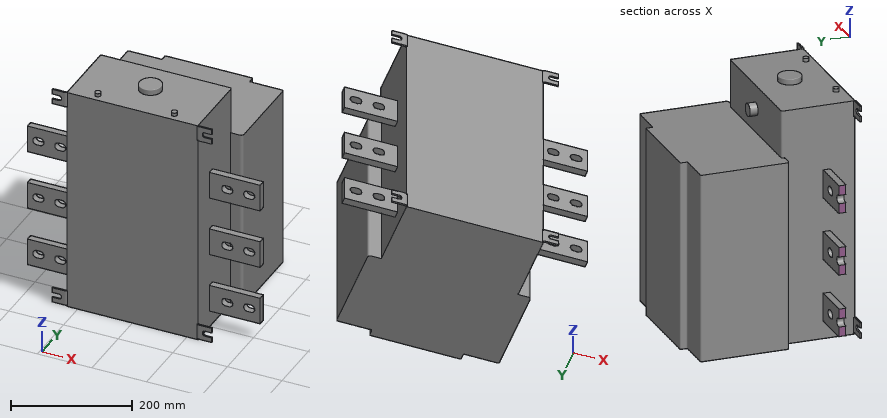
import cadquery as cq
import math

TOTAL_HEIGHT = 427.0
BODY_WIDTH = 240.0
BODY_HEIGHT = 417.0
BODY_FRONT_Y = 1.5
BODY_BACK_Y = 131.5
BODY_BACK_FILLET = 3.0

COVER_WIDTH = 285.2
COVER_HEIGHT = 333.5
COVER_FRONT_Y = 126.0
COVER_FRONT_FILLET = 5.0
COVER_BACK_FILLET = 3.0
PANEL_WIDTH = 160.5
PANEL_DEPTH = 12.5
PANEL_BACK_Y = 295.0
PANEL_FILLET = 2.0

BAR_SPAN = 426.0
BAR_HEIGHT = 50.0
BAR_THICKNESS = 12.5
BAR_Y = 51.5
BAR_LOWEST_Z = 56.5
BAR_PITCH = 110.0
BAR_COUNT = 3
BAR_SLOT_LENGTH = 20.0
BAR_SLOT_HEIGHT = 14.0
BAR_SLOT_PITCH = 40.0
BAR_SLOT_END_GAP = 20.0

BRACKET_TIP_X = 146.0
BRACKET_HEIGHT = 27.8
BRACKET_THICKNESS = 3.0
BRACKET_BEND_X = 123.5
BRACKET_BEND_RADIUS = 8.5
BRACKET_LEG_DEPTH = 25.5
LOWER_BRACKET_Z = 2.5
UPPER_BRACKET_Z = BODY_HEIGHT - BRACKET_HEIGHT
BRACKET_SLOT_HEIGHT = 9.5
BRACKET_SLOT_END_X = 129.0

KNOB_DIAMETER = 40.0
KNOB_HEIGHT = TOTAL_HEIGHT - BODY_HEIGHT
KNOB_Y = 71.5
KNOB_FILLET = 1.0
PIN_DIAMETER = 10.2
PIN_HEIGHT = 6.0
PIN_X = 70.0
PIN_Y = 16.2
BUTTON_DIAMETER = 22.5
BUTTON_LENGTH = 14.0
BUTTON_Z = 375.5


def box_between(x_min, x_max, y_min, y_max, z_min, z_max):
    """Axis-aligned block given by its limits."""
    size = (x_max - x_min, y_max - y_min, z_max - z_min)
    return cq.Workplane("XY").box(*size, centered=False).translate((x_min, y_min, z_min))


def make_body():
    half = BODY_WIDTH / 2
    body = box_between(-half, half, BODY_FRONT_Y, BODY_BACK_Y, 0, BODY_HEIGHT)
    return body.edges("|Z and >Y").fillet(BODY_BACK_FILLET)


def make_cover():
    half = COVER_WIDTH / 2
    half_panel = PANEL_WIDTH / 2
    step_y = PANEL_BACK_Y - PANEL_DEPTH
    cover = box_between(-half, half, COVER_FRONT_Y, step_y, 0, COVER_HEIGHT)
    cover = cover.edges("|Z and <Y").fillet(COVER_FRONT_FILLET)
    cover = cover.edges("|Z and >Y").fillet(COVER_BACK_FILLET)
    panel = box_between(-half_panel, half_panel, COVER_FRONT_Y + PANEL_DEPTH, PANEL_BACK_Y, 0, COVER_HEIGHT)
    cover = cover.union(panel)
    for x in (-half_panel, half_panel):
        for y in (step_y, PANEL_BACK_Y):
            middle = (x, y, COVER_HEIGHT / 2)
            cover = cover.edges(cq.selectors.NearestToPointSelector(middle)).fillet(PANEL_FILLET)
    return cover


def make_terminal_bar(z):
    """One bar through the whole body, with two oblong holes at each end."""
    half = BAR_SPAN / 2
    outer_slot_x = half - BAR_SLOT_END_GAP
    inner_slot_x = outer_slot_x - BAR_SLOT_PITCH
    slot_places = [(side * x, z) for side in (-1, 1) for x in (inner_slot_x, outer_slot_x)]
    bar = cq.Workplane("XZ", origin=(0, BAR_Y, 0)).center(0, z).rect(BAR_SPAN, BAR_HEIGHT)
    bar = bar.extrude(BAR_THICKNESS / 2, both=True)
    slots = cq.Workplane("XZ", origin=(0, BAR_Y, 0)).pushPoints(slot_places)
    slots = slots.slot2D(BAR_SLOT_LENGTH, BAR_SLOT_HEIGHT).extrude(BAR_THICKNESS, both=True)
    return bar.cut(slots)


def make_bracket(z):
    """Bent bracket on the +X side: slotted flange curving back into a leg inside the body."""
    outer_radius = BRACKET_BEND_RADIUS
    inner_radius = outer_radius - BRACKET_THICKNESS
    diagonal = math.sqrt(0.5)
    outer_mid = (BRACKET_BEND_X - outer_radius * diagonal, outer_radius * (1 - diagonal))
    inner_mid = (BRACKET_BEND_X - inner_radius * diagonal, outer_radius - inner_radius * diagonal)
    profile = (
        cq.Workplane("XY", origin=(0, 0, z))
        .moveTo(BRACKET_TIP_X, 0)
        .lineTo(BRACKET_BEND_X, 0)
        .threePointArc(outer_mid, (BRACKET_BEND_X - outer_radius, outer_radius))
        .lineTo(BRACKET_BEND_X - outer_radius, BRACKET_LEG_DEPTH)
        .lineTo(BRACKET_BEND_X - inner_radius, BRACKET_LEG_DEPTH)
        .lineTo(BRACKET_BEND_X - inner_radius, outer_radius)
        .threePointArc(inner_mid, (BRACKET_BEND_X, BRACKET_THICKNESS))
        .lineTo(BRACKET_TIP_X, BRACKET_THICKNESS)
        .close()
    )
    slot_length = 2 * (BRACKET_TIP_X - BRACKET_SLOT_END_X)
    slot = cq.Workplane("XZ").center(BRACKET_TIP_X, z + BRACKET_HEIGHT / 2)
    slot = slot.slot2D(slot_length, BRACKET_SLOT_HEIGHT).extrude(BRACKET_THICKNESS, both=True)
    return profile.extrude(BRACKET_HEIGHT).cut(slot)


def make_knob():
    knob = cq.Workplane("XY", origin=(0, KNOB_Y, BODY_HEIGHT)).circle(KNOB_DIAMETER / 2).extrude(KNOB_HEIGHT)
    return knob.faces(">Z").edges().fillet(KNOB_FILLET)


def make_pins():
    pins = cq.Workplane("XY", origin=(0, PIN_Y, BODY_HEIGHT)).pushPoints([(-PIN_X, 0), (PIN_X, 0)])
    return pins.circle(PIN_DIAMETER / 2).extrude(PIN_HEIGHT)


def make_button():
    button = cq.Workplane("XZ", origin=(0, BODY_BACK_Y, BUTTON_Z)).circle(BUTTON_DIAMETER / 2)
    return button.extrude(-BUTTON_LENGTH)


result = make_body().union(make_cover())
for index in range(BAR_COUNT):
    result = result.union(make_terminal_bar(BAR_LOWEST_Z + index * BAR_PITCH))
for bracket_z in (LOWER_BRACKET_Z, UPPER_BRACKET_Z):
    bracket = make_bracket(bracket_z)
    result = result.union(bracket).union(bracket.mirror("YZ"))
result = result.union(make_knob()).union(make_pins()).union(make_button())